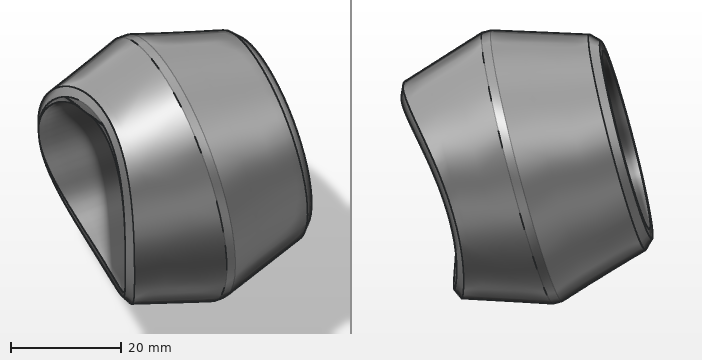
import cadquery as cq
import math

total_length = 37.29
weld_end_y = total_length / 2
saddle_tip_y = -total_length / 2

weld_face_radius = 18.55
weld_bevel_length = 1.65
shoulder_radius = 20.2
back_cone_length = 17.0
belt_radius = 25.4
belt_length = 1.7
front_cone_angle = 17.75

saddle_bore_radius = 18.25
weld_bore_radius = 16.7

header_radius = 44.45
rim_ball_radius = 1.47
blank_allowance = 2.0

shoulder_y = weld_end_y - weld_bevel_length
belt_back_y = shoulder_y - back_cone_length
belt_front_y = belt_back_y - belt_length
blank_end_y = saddle_tip_y - blank_allowance
front_cone_length = belt_front_y - blank_end_y
blank_end_radius = belt_radius - front_cone_length * math.tan(math.radians(front_cone_angle))

header_axis_y = saddle_tip_y - math.sqrt(header_radius**2 - saddle_bore_radius**2)


def revolve_about_branch(profile):
    """Revolve a closed (radius, y) profile about the Y axis, with its seam in the YZ plane."""
    points = [(y, radius) for radius, y in profile]
    return cq.Workplane("YZ").polyline(points).close().revolve(360, (0, 0, 0), (1, 0, 0))


def make_outside():
    """Belted double cone, left over-long at the saddle end."""
    return revolve_about_branch([
        (0, weld_end_y),
        (weld_face_radius, weld_end_y),
        (shoulder_radius, shoulder_y),
        (belt_radius, belt_back_y),
        (belt_radius, belt_front_y),
        (blank_end_radius, blank_end_y),
        (0, blank_end_y),
    ])


def make_bore():
    return revolve_about_branch([
        (0, weld_end_y),
        (weld_bore_radius, weld_end_y),
        (saddle_bore_radius, belt_back_y),
        (saddle_bore_radius, blank_end_y),
        (0, blank_end_y),
    ])


def make_header():
    """Header pipe outside surface, long enough to pass right through the part."""
    header = cq.Workplane("XY").center(0, header_axis_y).circle(header_radius)
    return header.extrude(2 * belt_radius, both=True)


def bevel_saddle_rim(body):
    """Bevel the outer saddle rim straight between the lines where a rolling ball touches its two faces."""
    saddle_face = body.faces("%CYLINDER").faces("<Y").val()
    outer_rim = max(saddle_face.Edges(), key=lambda edge: edge.Length())

    rounded = body.newObject([outer_rim]).fillet(rim_ball_radius)
    round_face = rounded.faces("%BSPLINE").val()
    contact_lines = [edge for edge in round_face.Edges() if edge.IsClosed()]
    inner_line, outer_line = sorted(contact_lines, key=lambda edge: edge.Length())

    inner_line = cq.Edge(inner_line.wrapped.Reversed())
    bevel_face = cq.Face.makeRuledSurface(inner_line, outer_line)

    kept_faces = [face for face in rounded.faces().vals() if not face.isSame(round_face)]
    shell = cq.Shell.makeShell(kept_faces + [bevel_face])
    return cq.Workplane("XY").newObject([cq.Solid.makeSolid(shell)])


bored_body = make_outside().cut(make_bore())
saddled_body = bored_body.cut(make_header())
result = bevel_saddle_rim(saddled_body)